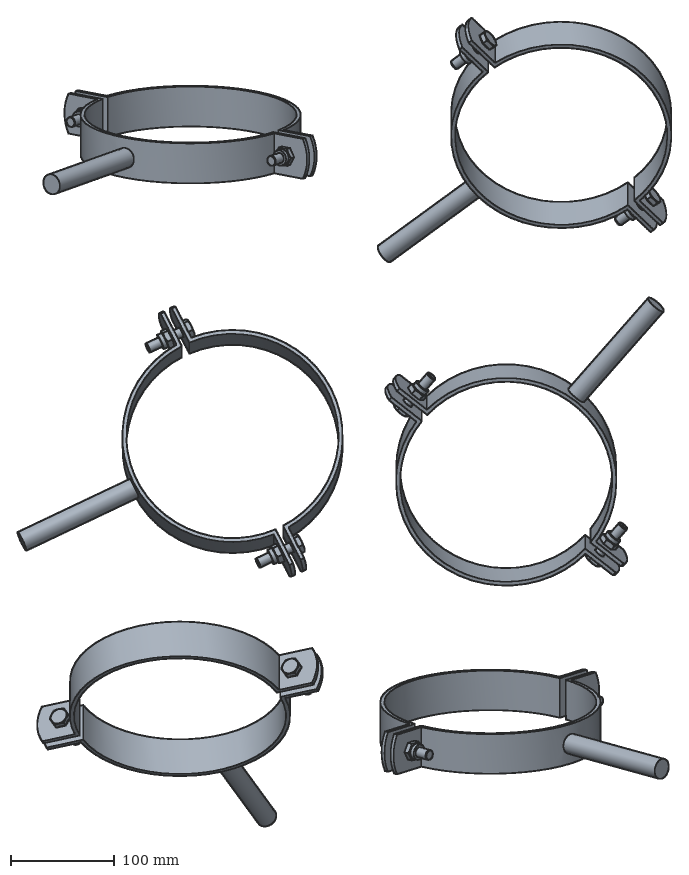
import cadquery as cq
import math


total_length = 332.0
ring_outer_diameter = 212.0
band_thickness = 4.0
band_width = 40.0
flange_gap = 8.0
flange_span = 290.0
flange_end_sagitta = 5.0
bolt_hole_diameter = 10.5

rod_diameter = 20.0

bolt_offset = 120.0
shank_diameter = 10.0
shank_tip_y = -32.2
tip_diameter = 9.3
tip_chamfer_length = 1.0
hex_across_flats = 17.0
head_height = 6.5
washer_face_diameter = 15.3
washer_face_height = 0.5
head_face_diameter = 16.3
nut_hex_height = 6.0
nut_collar_diameter = 15.3
nut_collar_height = 4.3
nut_face_diameter = 15.5
hex_chamfer_angle = math.radians(30)

ring_outer_radius = ring_outer_diameter / 2
ring_inner_radius = ring_outer_radius - band_thickness
half_gap = flange_gap / 2
flange_outer_y = half_gap + band_thickness
flange_tip_x = flange_span / 2
flange_corner_x = flange_tip_x - flange_end_sagitta
rod_end_y = ring_outer_radius - total_length
hex_across_corners = hex_across_flats / math.cos(math.radians(30))


def cylinder_along_y(diameter, start_y, end_y, x=0.0):
    """Cylinder on a Y-parallel axis at height Z = 0."""
    direction = cq.Vector(0, math.copysign(1, end_y - start_y), 0)
    solid = cq.Solid.makeCylinder(diameter / 2, abs(end_y - start_y), cq.Vector(x, start_y, 0), direction)
    return cq.Workplane(obj=solid)


def make_band(side):
    """Half band with a flange at each end; side is +1 for the rear half, -1 for the front."""
    inner_end_x = math.sqrt(ring_inner_radius**2 - half_gap**2)
    outer_end_x = math.sqrt(ring_outer_radius**2 - flange_outer_y**2)
    strip = (
        cq.Workplane("XY", origin=(0, 0, -band_width / 2))
        .moveTo(-inner_end_x, side * half_gap)
        .threePointArc((0, side * ring_inner_radius), (inner_end_x, side * half_gap))
        .lineTo(flange_tip_x, side * half_gap)
        .lineTo(flange_tip_x, side * flange_outer_y)
        .lineTo(outer_end_x, side * flange_outer_y)
        .threePointArc((0, side * ring_outer_radius), (-outer_end_x, side * flange_outer_y))
        .lineTo(-flange_tip_x, side * flange_outer_y)
        .lineTo(-flange_tip_x, side * half_gap)
        .close()
        .extrude(band_width)
    )
    rounded_outline = (
        cq.Workplane("XZ")
        .moveTo(-flange_corner_x, -band_width / 2)
        .lineTo(flange_corner_x, -band_width / 2)
        .threePointArc((flange_tip_x, 0), (flange_corner_x, band_width / 2))
        .lineTo(-flange_corner_x, band_width / 2)
        .threePointArc((-flange_tip_x, 0), (-flange_corner_x, -band_width / 2))
        .close()
        .extrude(ring_outer_radius, both=True)
    )
    band = strip.intersect(rounded_outline)
    for x in (-bolt_offset, bolt_offset):
        hole = cylinder_along_y(bolt_hole_diameter, 0, side * 2 * flange_outer_y, x)
        band = band.cut(hole)
    return band


def make_front_band():
    """Front half band with the mounting rod fixed to its middle."""
    mid_wall_y = -(ring_inner_radius + ring_outer_radius) / 2
    return make_band(-1).union(cylinder_along_y(rod_diameter, mid_wall_y, rod_end_y))


def make_hexagon(x, seat_y, height, face_diameter):
    """Hexagon from seat_y away from the clamp gap, its corners chamfered at the free face."""
    side = math.copysign(1, seat_y)
    prism = (
        cq.Workplane("XZ", origin=(x, seat_y, 0))
        .polygon(6, hex_across_corners)
        .extrude(-side * height)
    )
    face_radius = face_diameter / 2
    corner_radius = hex_across_corners / 2
    chamfer_depth = (corner_radius - face_radius) * math.tan(hex_chamfer_angle)
    chamfered_envelope = (
        cq.Workplane("XY", origin=(x, seat_y, 0))
        .lineTo(corner_radius, 0)
        .lineTo(corner_radius, side * (height - chamfer_depth))
        .lineTo(face_radius, side * height)
        .lineTo(0, side * height)
        .close()
        .revolve(360, (0, 0, 0), (0, 1, 0))
    )
    return prism.intersect(chamfered_envelope)


def make_bolt(x):
    """Hexagon bolt with a washer-faced head on the rear flange and a chamfered tip."""
    shank = (
        cq.Workplane("XY", origin=(x, 0, 0))
        .moveTo(0, flange_outer_y)
        .lineTo(shank_diameter / 2, flange_outer_y)
        .lineTo(shank_diameter / 2, shank_tip_y + tip_chamfer_length)
        .lineTo(tip_diameter / 2, shank_tip_y)
        .lineTo(0, shank_tip_y)
        .close()
        .revolve(360, (0, 0, 0), (0, 1, 0))
    )
    head_seat_y = flange_outer_y + washer_face_height
    washer_face = cylinder_along_y(washer_face_diameter, flange_outer_y, head_seat_y, x)
    head = make_hexagon(x, head_seat_y, head_height - washer_face_height, head_face_diameter)
    return head.union(washer_face).union(shank)


def make_nut(x):
    """Hexagon nut with a round collar, seated on the front flange."""
    collar_start_y = -(flange_outer_y + nut_hex_height)
    collar_end_y = collar_start_y - nut_collar_height
    collar = cylinder_along_y(nut_collar_diameter, collar_start_y, collar_end_y, x)
    bore = cylinder_along_y(shank_diameter, 0, shank_tip_y, x)
    hexagon = make_hexagon(x, -flange_outer_y, nut_hex_height, nut_face_diameter)
    return hexagon.union(collar).cut(bore)


rear_band = make_band(1)
front_band = make_front_band()
bolts = []
nuts = []
for bolt_x in (-bolt_offset, bolt_offset):
    bolts.append(make_bolt(bolt_x).val())
    nuts.append(make_nut(bolt_x).val())

result = cq.Compound.makeCompound([rear_band.val(), front_band.val(), *bolts, *nuts])